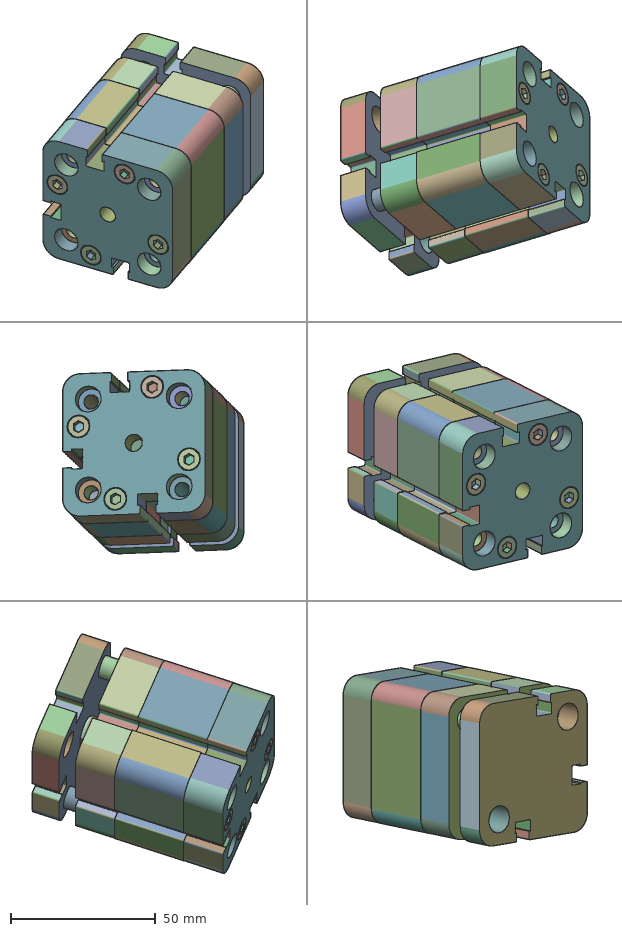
import cadquery as cq
import math

LENGTH = 70.5
WIDTH = 50.1

CAP_LENGTH = 14.5
BARREL_LENGTH = 25.5
PLATE_THICKNESS = 10.0
REAR_Y = -LENGTH / 2
BARREL_Y = REAR_Y + CAP_LENGTH
FRONT_CAP_Y = BARREL_Y + BARREL_LENGTH
BODY_END_Y = FRONT_CAP_Y + CAP_LENGTH
PLATE_END_Y = LENGTH / 2
PLATE_Y = PLATE_END_Y - PLATE_THICKNESS
OVERLAP = 0.7

CAP_CORNER_RADIUS = 6.3
BARREL_CORNER_RADIUS = 5.8
BARREL_INSET = 0.1

SLOT_ANGLES = (0, -90, 180)
SLOT_DEPTH = 7.05
NECK_DEPTH = 3.1
NECK_RIGHT = -2.2
CAP_NECK_LEFT = -7.9
CAP_CHANNEL_LEFT = -8.4
CAP_CHANNEL_RIGHT = -1.4
BARREL_SLOT_INSET = 0.25
LIP_RADIUS = 0.5
FLOOR_RADIUS = 0.4

MOUNT_OFFSET = 16.0
MOUNT_DIAMETER = 5.0
MOUNT_BORE_DIAMETER = 9.0
MOUNT_BORE_DEPTH = 5.3
PLATE_HOLE_DIAMETER = 9.5

PORT_DIAMETER = 6.0
PORT_DEPTH = 10.0

SCREW_NEAR = 6.5
SCREW_FAR = 19.45
SCREW_RECESS_DIAMETER = 8.0
SCREW_HEAD_DIAMETER = 7.5
SCREW_GAP_DEPTH = 4.0
HEX_ACROSS_FLATS = 3.5
HEX_DEPTH = 2.8

GUIDE_OFFSET = 17.1
GUIDE_DIAMETER = 8.0

ROD_DIAMETER = 12.0
ROD_FLATS_WIDTH = 10.0
ROD_FLATS_LENGTH = 4.3
ROD_END_RADIUS = 1.7
ROD_END_LENGTH = 1.3


def plane_at(y):
    """Sketch plane at position y along the axis: local x is X, local y is Z, extrusion runs to +Y."""
    return cq.Workplane("XZ", origin=(0, y, 0))


def extrude_up(sketch, length):
    """Extrude an XZ sketch towards +Y."""
    return sketch.extrude(-length)


def cylinders(points, diameter, start, end):
    return extrude_up(plane_at(start).pushPoints(points).circle(diameter / 2), end - start)


def slot_cutter(start, length, side_inset, slot_inset):
    """T-shaped cutter for the +Z side, with flared lips and rounded floor corners."""
    top = WIDTH / 2 - side_inset
    neck_left = CAP_NECK_LEFT + slot_inset
    channel_left = CAP_CHANNEL_LEFT + side_inset
    channel_right = CAP_CHANNEL_RIGHT - slot_inset
    step = top - NECK_DEPTH
    floor = top - SLOT_DEPTH
    sketch = (
        plane_at(start)
        .moveTo(neck_left - LIP_RADIUS, top)
        .radiusArc((neck_left, top - LIP_RADIUS), LIP_RADIUS)
        .lineTo(neck_left, step)
        .lineTo(channel_left, step)
        .lineTo(channel_left, floor + FLOOR_RADIUS)
        .radiusArc((channel_left + FLOOR_RADIUS, floor), -FLOOR_RADIUS)
        .lineTo(channel_right - FLOOR_RADIUS, floor)
        .radiusArc((channel_right, floor + FLOOR_RADIUS), -FLOOR_RADIUS)
        .lineTo(channel_right, step)
        .lineTo(NECK_RIGHT, step)
        .lineTo(NECK_RIGHT, top - LIP_RADIUS)
        .radiusArc((NECK_RIGHT + LIP_RADIUS, top), LIP_RADIUS)
        .close()
    )
    return extrude_up(sketch, length)


def slotted_block(start, length, corner_radius, side_inset=0.0, slot_inset=0.0):
    """Rounded square block with a slot in its top, left and bottom sides."""
    width = WIDTH - 2 * side_inset
    block = extrude_up(plane_at(start).rect(width, width), length)
    block = block.edges("|Y").fillet(corner_radius)
    cutter = slot_cutter(start, length, side_inset, slot_inset)
    for angle in SLOT_ANGLES:
        block = block.cut(cutter.rotate((0, 0, 0), (0, 1, 0), angle))
    return block


def piston_rod():
    radius = ROD_DIAMETER / 2
    round_start = PLATE_Y - ROD_END_LENGTH
    end_drop = ROD_END_RADIUS - math.sqrt(ROD_END_RADIUS**2 - ROD_END_LENGTH**2)
    end_radius = radius - end_drop
    rod = (
        cq.Workplane("XY")
        .moveTo(0, BODY_END_Y - OVERLAP)
        .lineTo(radius, BODY_END_Y - OVERLAP)
        .lineTo(radius, round_start)
        .radiusArc((end_radius, PLATE_Y), -ROD_END_RADIUS)
        .lineTo(end_radius, PLATE_Y + OVERLAP)
        .lineTo(0, PLATE_Y + OVERLAP)
        .close()
        .revolve(360, (0, 0, 0), (0, 1, 0))
    )
    half_flats = ROD_FLATS_WIDTH / 2
    flats_start = PLATE_Y - ROD_FLATS_LENGTH
    flat_depth = radius - half_flats
    flat_cutter = (
        cq.Workplane("XY")
        .moveTo(half_flats, PLATE_Y)
        .lineTo(half_flats, flats_start)
        .lineTo(radius, flats_start - flat_depth)
        .lineTo(radius, PLATE_Y)
        .close()
        .extrude(ROD_DIAMETER, both=True)
    )
    return rod.cut(flat_cutter).cut(flat_cutter.mirror("YZ"))


def screw_recesses():
    """Ring gaps around the screw heads and the hex sockets in them."""
    points = [
        (SCREW_NEAR, SCREW_FAR),
        (-SCREW_FAR, SCREW_NEAR),
        (-SCREW_NEAR, -SCREW_FAR),
        (SCREW_FAR, -SCREW_NEAR),
    ]
    gap_end = REAR_Y + SCREW_GAP_DEPTH
    gaps = cylinders(points, SCREW_RECESS_DIAMETER, REAR_Y, gap_end)
    gaps = gaps.cut(cylinders(points, SCREW_HEAD_DIAMETER, REAR_Y, gap_end))
    hex_across_corners = HEX_ACROSS_FLATS / math.cos(math.radians(30))
    corner_angles = [math.radians(30 + 60 * i) for i in range(6)]
    hexagon = [
        (hex_across_corners / 2 * math.cos(angle), hex_across_corners / 2 * math.sin(angle))
        for angle in corner_angles
    ]
    socket = extrude_up(plane_at(REAR_Y).polyline(hexagon).close(), HEX_DEPTH)
    for x, z in points:
        gaps = gaps.union(socket.translate((x, 0, z)))
    return gaps


rod_corners = [(1, 1), (-1, -1)]
bolt_corners = [(-1, 1), (1, -1)]
guide_points = [(GUIDE_OFFSET * x, GUIDE_OFFSET * z) for x, z in rod_corners]
blind_points = [(MOUNT_OFFSET * x, MOUNT_OFFSET * z) for x, z in rod_corners]
through_points = [(MOUNT_OFFSET * x, MOUNT_OFFSET * z) for x, z in bolt_corners]

body = slotted_block(REAR_Y, CAP_LENGTH, CAP_CORNER_RADIUS)
body = body.union(
    slotted_block(BARREL_Y, BARREL_LENGTH, BARREL_CORNER_RADIUS, BARREL_INSET, BARREL_SLOT_INSET)
)
body = body.union(slotted_block(FRONT_CAP_Y, CAP_LENGTH, CAP_CORNER_RADIUS))
body = body.cut(cylinders(through_points, MOUNT_DIAMETER, REAR_Y, BODY_END_Y))
body = body.cut(cylinders(blind_points, MOUNT_DIAMETER, REAR_Y, BARREL_Y))
body = body.cut(
    cylinders(through_points + blind_points, MOUNT_BORE_DIAMETER, REAR_Y, REAR_Y + MOUNT_BORE_DEPTH)
)
body = body.cut(cylinders([(0, 0)], PORT_DIAMETER, REAR_Y, REAR_Y + PORT_DEPTH))
body = body.cut(screw_recesses())

plate = slotted_block(PLATE_Y, PLATE_THICKNESS, CAP_CORNER_RADIUS)
plate = plate.cut(cylinders(through_points, PLATE_HOLE_DIAMETER, PLATE_Y, PLATE_END_Y))

guides = cylinders(guide_points, GUIDE_DIAMETER, BODY_END_Y - OVERLAP, PLATE_Y + OVERLAP)

result = body.union(plate).union(guides).union(piston_rod())